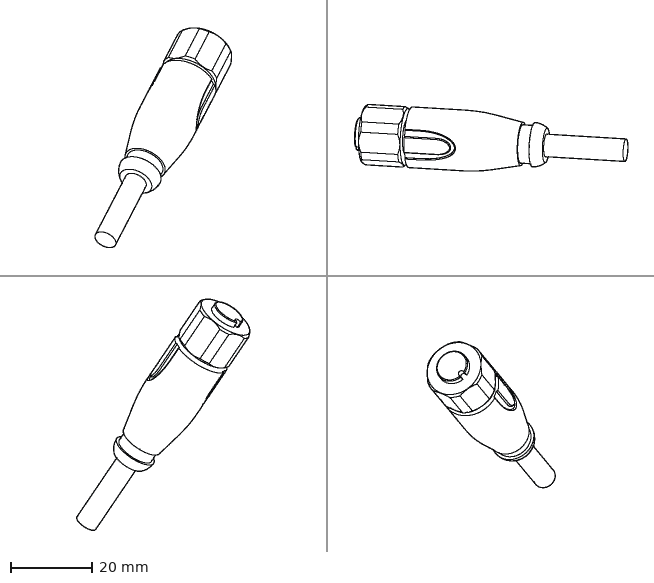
import cadquery as cq
import math

overall_length = 67.4
nut_start = 1.7
nut_end = 12.2
grip_start = 13.3
grip_end = 41.3
collar_start = 44.3
cable_length = 20.0
collar_end = overall_length - cable_length

nose_radius = 4.05
front_neck_radius = 4.25
grip_radius = 7.5
grip_tail_radius = 5.35
rear_neck_radius = 4.75
collar_radius = 5.5
collar_end_radius = 4.25
cable_radius = 2.8
nose_chamfer = 0.25

taper_corner = 30.6
taper_tangent_length = 3.5

nut_radius = 7.5
nut_across_flats = 14.1
nut_chamfer_depth = 0.5
nut_chamfer_length = 0.6

keyway_width = 1.4
keyway_centre_radius = 3.45
keyway_angle = 225.0

recess_depth = 0.35
recess_half_height = 3.5
recess_length = 12.6
recess_straight = 4.0
rim_bevel = 0.34
pad_half_height = 2.2
pad_length = 11.8
pad_straight = 8.0
pad_bevel_height = 0.33
pad_bevel_width = 0.55

tolerance = 0.01


def half_profile(station, radius):
    """Start a half profile on a plane whose x is Y and whose y is Z."""
    return cq.Workplane("YZ").moveTo(-station, 0).lineTo(-station, radius)


def turned(profile, end, angle=360):
    """Close a half profile on the axis at the end station and revolve it about Y."""
    return profile.lineTo(-end, 0).close().revolve(angle, (0, 0, 0), (1, 0, 0))


def rod(radius, start, end):
    """Plain cylinder on the connector axis between two stations."""
    return turned(half_profile(start, radius).lineTo(-end, radius), end)


def make_nose():
    """Plug nose with its coding keyway."""
    nose = rod(nose_radius, 0, nut_start).faces(">Y").chamfer(nose_chamfer)
    opening = nose_radius
    keyway = (
        cq.Workplane("XZ")
        .transformed(rotate=(0, 0, keyway_angle))
        .moveTo(opening, -keyway_width / 2)
        .lineTo(keyway_centre_radius, -keyway_width / 2)
        .threePointArc(
            (keyway_centre_radius - keyway_width / 2, 0),
            (keyway_centre_radius, keyway_width / 2),
        )
        .lineTo(opening, keyway_width / 2)
        .close()
        .extrude(nut_start)
    )
    return nose.cut(keyway)


def make_nut():
    """Hexagonal coupling nut with flats facing +X and -X and both ends chamfered."""
    end_radius = nut_radius - nut_chamfer_depth
    blank = turned(
        half_profile(nut_start, end_radius)
        .lineTo(-(nut_start + nut_chamfer_length), nut_radius)
        .lineTo(-(nut_end - nut_chamfer_length), nut_radius)
        .lineTo(-nut_end, end_radius),
        nut_end,
    )
    hexagon = (
        cq.Workplane("XZ", origin=(0, -nut_start, 0))
        .polygon(6, nut_across_flats, circumscribed=True)
        .extrude(nut_end - nut_start)
    )
    return blank.intersect(hexagon)


def tongue(half_height, length, straight):
    """Tongue outline extruded toward +X: straight sides, then a half-elliptical tip."""
    tip_start = -(grip_start + straight)
    sides = (
        cq.Workplane("YZ", origin=(0, tip_start + straight / 2, 0))
        .rect(straight, 2 * half_height)
        .extrude(2 * grip_radius)
    )
    tip = (
        cq.Workplane("YZ", origin=(0, tip_start, 0))
        .ellipse(length - straight, half_height)
        .extrude(2 * grip_radius)
    )
    return sides.union(tip)


def make_half_sleeve():
    """The +X half of the plain grip sleeve."""
    taper_angle = math.atan((grip_radius - grip_tail_radius) / (grip_end - taper_corner))
    arc_start = taper_corner - taper_tangent_length
    arc_end = taper_corner + taper_tangent_length * math.cos(taper_angle)
    arc_end_radius = grip_radius - taper_tangent_length * math.sin(taper_angle)
    profile = (
        half_profile(grip_start, grip_radius)
        .lineTo(-arc_start, grip_radius)
        .tangentArcPoint((-arc_end, arc_end_radius), relative=False)
        .lineTo(-grip_end, grip_tail_radius)
    )
    return turned(profile, grip_end, 180)


def is_recess_rim(edge):
    """True for the edges where the recess wall meets the grip's outer cylinder."""
    middle = edge.positionAt(0.5)
    distance_off_surface = abs(math.hypot(middle.x, middle.z) - grip_radius)
    on_surface = distance_off_surface < tolerance
    beside_recess = abs(middle.z) < recess_half_height + tolerance
    within_length = -grip_start - recess_length - tolerance < middle.y < -grip_start - tolerance
    return on_surface and beside_recess and within_length


def recess_panel(half_sleeve):
    """Cut the label recess down to a cylindrical floor and bevel its rim."""
    floor = rod(grip_radius - recess_depth, 0, grip_end)
    recess = tongue(recess_half_height, recess_length, recess_straight).cut(floor)
    recessed = half_sleeve.cut(recess)
    rim = [edge for edge in recessed.edges().vals() if is_recess_rim(edge)]
    return recessed.newObject(rim).chamfer(rim_bevel)


def make_pad(half_sleeve):
    """Label pad flush with the grip, its side and tip edges bevelled."""
    pad = tongue(pad_half_height, pad_length, pad_straight).intersect(half_sleeve)
    return pad.faces(">X").edges("not >Y").chamfer(pad_bevel_height, pad_bevel_width)


def make_grip():
    """Moulded grip in two mirrored halves, each with a label panel."""
    half_sleeve = make_half_sleeve()
    half_grip = recess_panel(half_sleeve).union(make_pad(half_sleeve))
    return half_grip.union(half_grip.mirror("YZ"))


def make_collar():
    """Cable collar, rounded toward the cable by an arc tangent to its rim."""
    length = collar_end - collar_start
    drop = collar_radius - collar_end_radius
    rounding_radius = (length**2 + drop**2) / (2 * drop)
    return turned(
        half_profile(collar_start, collar_radius)
        .radiusArc((-collar_end, collar_end_radius), -rounding_radius),
        collar_end,
    )


result = (
    make_nose()
    .union(make_nut())
    .union(rod(front_neck_radius, nut_end, grip_start))
    .union(make_grip())
    .union(rod(rear_neck_radius, grip_end, collar_start))
    .union(make_collar())
    .union(rod(cable_radius, collar_end, overall_length))
)